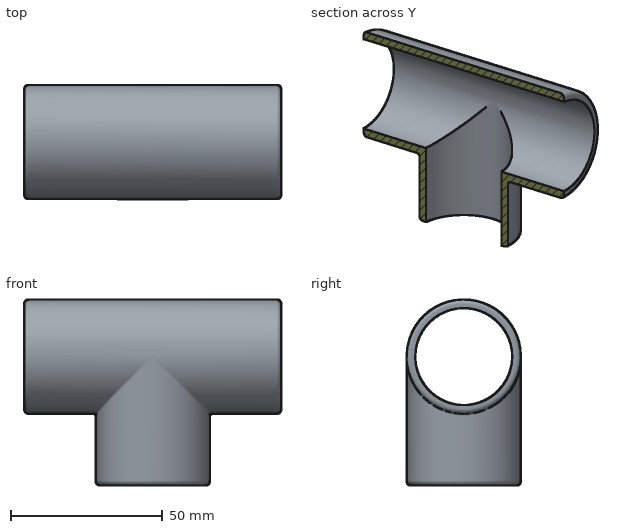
import cadquery as cq

run_length = 85.0
outer_diameter = 37.8
bore_diameter = 32.0
overall_height = 61.5
rim_radius = 1.6
seam_radius = 0.7

branch_length = overall_height - outer_diameter / 2


def run_cylinder(diameter):
    """Cylinder along X, centred on the origin, as long as the run."""
    end_plane = cq.Workplane("YZ", origin=(-run_length / 2, 0, 0))
    return end_plane.circle(diameter / 2).extrude(run_length)


def branch_cylinder(diameter):
    """Cylinder from the run axis straight down to the open end of the branch."""
    return cq.Workplane("XY").circle(diameter / 2).extrude(-branch_length)


run = run_cylinder(outer_diameter).faces("<X or >X").edges().fillet(rim_radius)
branch = branch_cylinder(outer_diameter).faces("<Z").edges().fillet(rim_radius)

body = run.union(branch).edges("%ELLIPSE").fillet(seam_radius)

bores = run_cylinder(bore_diameter).union(branch_cylinder(bore_diameter))
result = body.cut(bores)